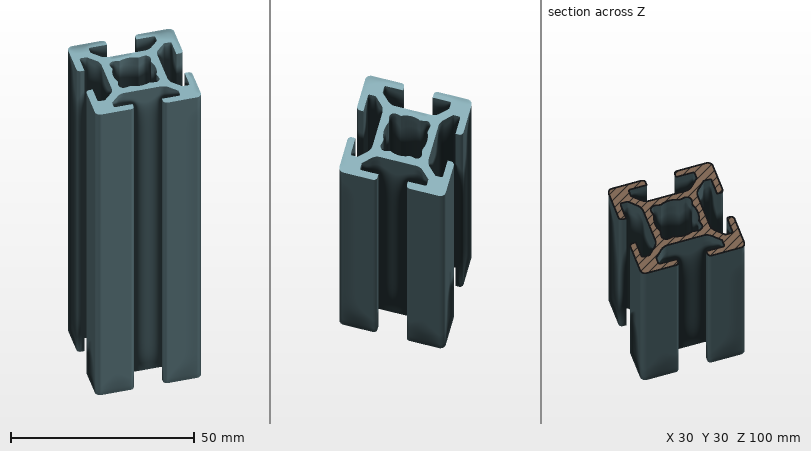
import cadquery as cq
import math

side = 30.0
length = 100.0
corner_radius = 1.5

slot_opening = 8.3
slot_inner_width = 18.8
lip_thickness = 2.0
lip_radius = 1.0
slot_floor_radius = 3.0
slot_corner_radius = 0.4

core_width = 15.8
strut_width = 2.2

bore_radius = 6.1
ridge_offset = 2.7
pocket_reach = 5.8
pocket_corner_start = 4.4

half_side = side / 2
half_opening = slot_opening / 2
half_slot = slot_inner_width / 2
half_core = core_width / 2
lip_inner = half_side - lip_thickness
strut_offset = strut_width / math.sqrt(2)
floor_half_width = half_core - strut_offset


def on_all_sides(shape):
    """Four copies of a shape, turned about Z in quarter turns."""
    return [shape.rotate((0, 0, 0), (0, 0, 1), 90 * turn) for turn in range(4)]


def fillet_long_edges(body, points, radius):
    """Round the edges along Z that pass through the given XY points."""
    for x, y in points:
        nearest = cq.NearestToPointSelector((x, y, length / 2))
        body = body.edges("|Z").edges(nearest).fillet(radius)
    return body


def make_bar():
    """Square bar with rounded long corners."""
    return cq.Workplane("XY").rect(side, side).extrude(length).edges("|Z").fillet(corner_radius)


def make_slot():
    """T-slot on the +Y side with rounded inner corners, whose floor slopes along the struts."""
    right_half = [
        (half_opening, half_side),
        (half_opening, lip_inner),
        (half_slot, lip_inner),
        (half_slot, half_slot + strut_offset),
        (floor_half_width, half_core),
    ]
    left_half = [(-x, y) for x, y in reversed(right_half)]
    slot = cq.Workplane("XY").polyline(right_half + left_half).close().extrude(length)
    floor_corners = [(-floor_half_width, half_core), (floor_half_width, half_core)]
    inner_corners = [(-half_slot, lip_inner), (half_slot, lip_inner)]
    slot = fillet_long_edges(slot, floor_corners, slot_floor_radius)
    return fillet_long_edges(slot, inner_corners, slot_corner_radius)


def round_lips(profile):
    """Round the outer edges of the lips on both sides of every slot opening."""
    for near in (-half_opening, half_opening):
        for far in (-half_side, half_side):
            profile = fillet_long_edges(profile, [(near, far), (far, near)], lip_radius)
    return profile


def make_cavity():
    """Bore with four rounded corner pockets, which meet it in small ridges."""
    ridge_reach = math.sqrt(bore_radius**2 - ridge_offset**2)
    corner_middle = pocket_corner_start + (pocket_reach - pocket_corner_start) / math.sqrt(2)
    pocket = (
        cq.Workplane("XY")
        .moveTo(0, 0)
        .lineTo(ridge_reach, ridge_offset)
        .lineTo(pocket_reach, pocket_corner_start)
        .threePointArc((corner_middle, corner_middle), (pocket_corner_start, pocket_reach))
        .lineTo(ridge_offset, ridge_reach)
        .close()
        .extrude(length)
    )
    cavity = cq.Workplane("XY").circle(bore_radius).extrude(length)
    for pocket_copy in on_all_sides(pocket):
        cavity = cavity.union(pocket_copy)
    return cavity


profile = make_bar()
for slot in on_all_sides(make_slot()):
    profile = profile.cut(slot)
profile = round_lips(profile)
result = profile.cut(make_cavity())